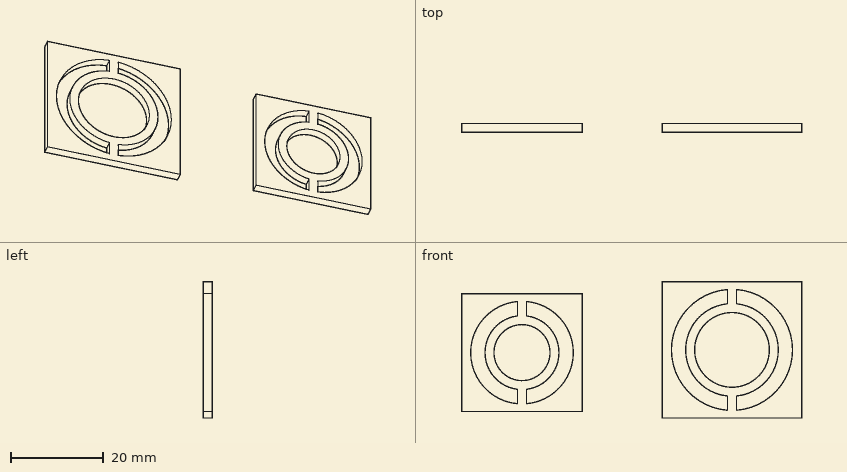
import cadquery as cq

total_length = 73.2
thickness = 2.0
bridge_width = 2.0
ring_wall = 2.0

small_width = 26.0
small_height = 25.4
small_bore = 12.0
small_opening = 22.0
small_drop = 0.6

large_width = 30.1
large_height = 29.35
large_bore = 16.0
large_opening = 26.0


def ring_plate(width, height, bore, opening, center_x, center_z):
    """Plate with a round opening, and a ring held in it by two vertical webs."""
    ring_diameter = bore + 2 * ring_wall
    plate = cq.Workplane("XZ").rect(width, height).circle(opening / 2).extrude(thickness / 2, both=True)
    ring = cq.Workplane("XZ").circle(ring_diameter / 2).extrude(thickness / 2, both=True)

    bar_length = (opening + height) / 2
    bar = cq.Workplane("XZ").rect(bridge_width, bar_length).extrude(thickness / 2, both=True)
    hole = cq.Workplane("XZ").circle(bore / 2).extrude(thickness / 2, both=True)

    body = plate.union(bar).union(ring).cut(hole)
    return body.translate((center_x, 0, center_z))


small_plate = ring_plate(
    small_width, small_height, small_bore, small_opening,
    center_x=(small_width - total_length) / 2, center_z=-small_drop,
)
large_plate = ring_plate(
    large_width, large_height, large_bore, large_opening,
    center_x=(total_length - large_width) / 2, center_z=0,
)

result = cq.Compound.makeCompound([small_plate.val(), large_plate.val()])